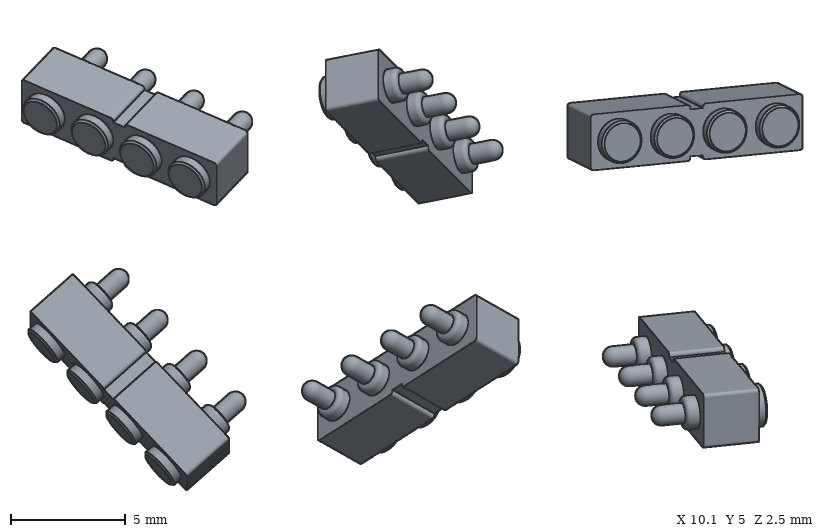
import cadquery as cq
import math

housing_length = 10.1
housing_depth = 2.5
housing_height = 2.5
corner_radius = 0.15
notch_width = 0.6
notch_depth = 0.2

pin_count = 4
pin_pitch = housing_depth
head_radius = 0.95
head_length = 0.5
head_chamfer = 0.09
barrel_radius = 0.75
barrel_projection = 0.6
barrel_rounding = 0.2
tip_radius = 0.45
overall_depth = 5.0

head_front = -head_length
barrel_end = housing_depth + barrel_projection
tip_end = head_front + overall_depth

pin_positions = [(i - (pin_count - 1) / 2) * pin_pitch for i in range(pin_count)]


def extrude_along_y(sketch, length):
    """Extrude an XZ sketch towards +Y."""
    return sketch.extrude(-length)


def make_housing():
    """Rounded bar with two waist notches and a through hole for each pin."""
    body = extrude_along_y(cq.Workplane("XZ").rect(housing_length, housing_height), housing_depth)

    notch_places = [(0, housing_height / 2), (0, -housing_height / 2)]
    notches = cq.Workplane("XZ").pushPoints(notch_places).rect(notch_width, 2 * notch_depth)
    body = body.cut(extrude_along_y(notches, housing_depth))

    top_edges = body.faces(">Z").edges("|Y")
    bottom_edges = body.faces("<Z").edges("|Y")
    body = top_edges.add(bottom_edges).fillet(corner_radius)

    holes = cq.Workplane("XZ").pushPoints([(x, 0) for x in pin_positions]).circle(barrel_radius)
    return body.cut(extrude_along_y(holes, housing_depth))


def make_pin(x):
    """Headed barrel with a domed contact tip, revolved about its own axis at the given X."""
    arc_middle = math.sqrt(0.5)
    rounding_start = barrel_end - barrel_rounding
    rounding_center = barrel_radius - barrel_rounding
    dome_start = tip_end - tip_radius
    profile = (
        cq.Workplane("XY")
        .moveTo(0, head_front)
        .lineTo(head_radius - head_chamfer, head_front)
        .lineTo(head_radius, head_front + head_chamfer)
        .lineTo(head_radius, 0)
        .lineTo(barrel_radius, 0)
        .lineTo(barrel_radius, rounding_start)
        .threePointArc(
            (rounding_center + barrel_rounding * arc_middle, rounding_start + barrel_rounding * arc_middle),
            (rounding_center, barrel_end),
        )
        .lineTo(tip_radius, barrel_end)
        .lineTo(tip_radius, dome_start)
        .threePointArc((tip_radius * arc_middle, dome_start + tip_radius * arc_middle), (0, tip_end))
        .close()
    )
    return profile.revolve(360, (0, 0, 0), (0, 1, 0)).translate((x, 0, 0))


housing = make_housing()
pins = [make_pin(x) for x in pin_positions]

result = cq.Compound.makeCompound([housing.val(), *[pin.val() for pin in pins]])